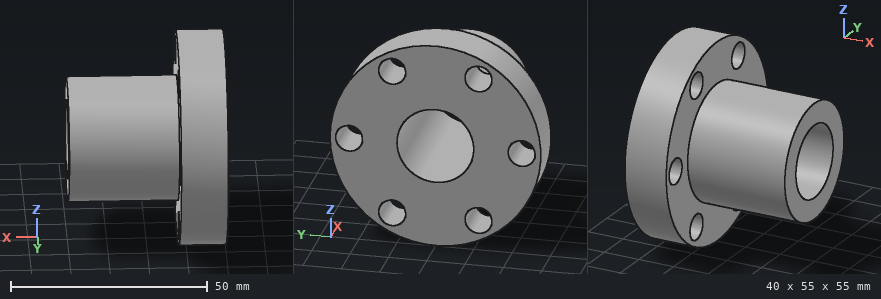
import cadquery as cq

total_length = 40.0
flange_diameter = 55.0
flange_thickness = 12.0
body_diameter = 32.0
bore_diameter = 20.0
bolt_hole_count = 6
bolt_hole_diameter = 7.0
bolt_circle_diameter = 45.0


def make_flange():
    """Round mounting flange, with its outer face at X = 0."""
    return cq.Workplane("YZ").circle(flange_diameter / 2).extrude(flange_thickness)


def add_body(part):
    """Cylindrical body from the flange to the far end."""
    body = cq.Workplane("YZ").circle(body_diameter / 2).extrude(total_length)
    return part.union(body)


def cut_bore(part):
    """Central bore through the whole length."""
    bore = cq.Workplane("YZ").circle(bore_diameter / 2).extrude(total_length)
    return part.cut(bore)


def cut_bolt_holes(part):
    """Ring of plain through holes in the flange, the first one on the +Y side."""
    holes = (
        cq.Workplane("YZ")
        .polarArray(bolt_circle_diameter / 2, 0, 360, bolt_hole_count)
        .circle(bolt_hole_diameter / 2)
        .extrude(flange_thickness)
    )
    return part.cut(holes)


result = cut_bolt_holes(cut_bore(add_body(make_flange())))